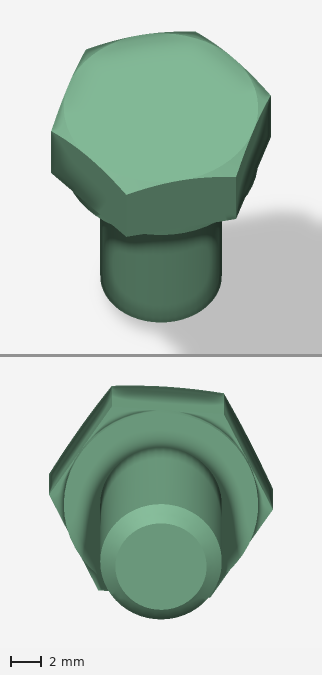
import cadquery as cq
import math

total_length = 18.06
across_flats = 12.7
hex_height = 4.82
crown_angle = 30.0
washer_face_height = 0.56
shank_diameter = 7.95
tip_chamfer = 1.0

across_corners = across_flats / math.cos(math.radians(30))
hex_base = total_length - hex_height
shank_length = hex_base - washer_face_height


def make_head():
    """Hexagonal prism whose top corners are cut by a cone tangent to the flats."""
    prism = (
        cq.Workplane("XY")
        .workplane(offset=hex_base)
        .polygon(6, across_corners)
        .extrude(hex_height)
    )
    top_radius = across_flats / 2
    base_radius = top_radius + hex_height / math.tan(math.radians(crown_angle))
    crown_cone = (
        cq.Workplane("XZ")
        .moveTo(0, hex_base)
        .lineTo(base_radius, hex_base)
        .lineTo(top_radius, total_length)
        .lineTo(0, total_length)
        .close()
        .revolve(360, (0, 0, 0), (0, 1, 0))
    )
    return prism.intersect(crown_cone)


def make_washer_face():
    """Round bearing face under the head, as wide as the flats."""
    return (
        cq.Workplane("XY")
        .workplane(offset=shank_length)
        .circle(across_flats / 2)
        .extrude(washer_face_height)
    )


def make_shank():
    """Plain cylinder with a 45 degree chamfer at the tip."""
    return (
        cq.Workplane("XY")
        .circle(shank_diameter / 2)
        .extrude(shank_length)
        .faces("<Z")
        .chamfer(tip_chamfer)
    )


result = make_head().union(make_washer_face()).union(make_shank())